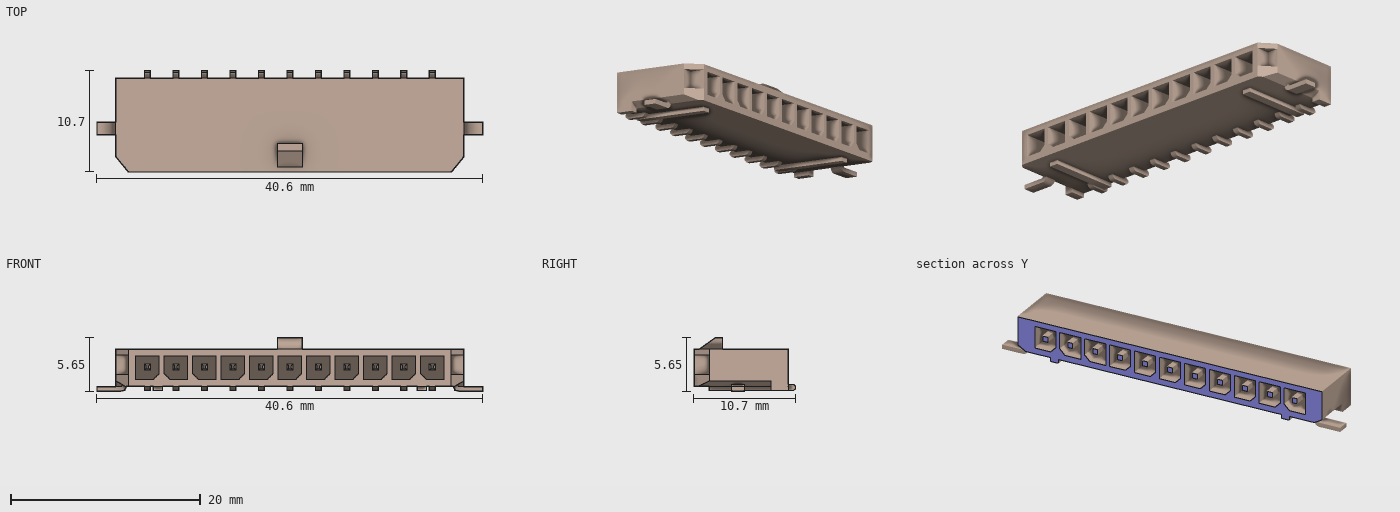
import cadquery as cq


overall_length = 40.65
overall_depth = 10.7
overall_height = 5.65

body_length = 36.65
body_depth = 9.9
body_top = 4.45
body_bottom = 0.53
corner_length = 1.35
corner_depth = 1.63
corner_top_wall = 0.6
corner_bottom_wall = 1.25
edge_bevel_width = 0.98
edge_bevel_height = 0.55

support_bottom = 0.1
foot_depth = 1.83
rib_width = 1.0
rib_center = 13.9
rib_start = 1.6

latch_width = 2.65
latch_front = 0.53
latch_back = 3.0
latch_flat = 0.77

pocket_keys = "RLLRRRRRRRL"
row_span = 30.0
pocket_size = 2.48
pocket_bevel = 0.6
pocket_top_wall = 0.7
pocket_depth = 7.3

pin_size = 0.65
pin_middle = 2.55
pin_tip_recess = 2.05
pin_taper_length = 0.5
pin_tip_size = 0.25
pin_bend_radius = 0.5
tail_end_bevel = 0.2

tab_thickness = 0.5
tab_front = 3.95
tab_width = 1.35
tab_leg_outer = 17.7
tab_leg_top = 1.63
tab_inner_radius = 0.15

half_body = body_length / 2
pocket_pitch = row_span / (len(pocket_keys) - 1)
pocket_centers = [i * pocket_pitch - row_span / 2 for i in range(len(pocket_keys))]
pocket_middle = body_top - pocket_top_wall - pocket_size / 2
foot_front = body_depth - foot_depth


def box(x_min, x_max, y_min, y_max, z_min, z_max):
    """Box between the given limits."""
    size = (x_max - x_min, y_max - y_min, z_max - z_min)
    return cq.Workplane("XY").box(*size, centered=False).translate((x_min, y_min, z_min))


def extrude_along_y(points, y_start, length):
    """Prism of an XZ outline running toward +Y."""
    return cq.Workplane("XZ", origin=(0, y_start, 0)).polyline(points).close().extrude(-length)


def extrude_along_x(points, x_middle, width):
    """Prism of a YZ outline, centred on x_middle."""
    plane = cq.Workplane("YZ", origin=(x_middle, 0, 0))
    return plane.polyline(points).close().extrude(width / 2, both=True)


def both_ends(solid):
    """The solid together with its mirror image at the other end."""
    return solid.union(solid.mirror("YZ"))


def make_body():
    """Housing block with bevelled and recessed front corners and bevelled lower edges."""
    bevel_start = half_body - corner_length
    outline = [
        (-bevel_start, 0),
        (bevel_start, 0),
        (half_body, corner_depth),
        (half_body, body_depth),
        (-half_body, body_depth),
        (-half_body, corner_depth),
    ]
    block = cq.Workplane("XY", origin=(0, 0, body_bottom)).polyline(outline).close()
    block = block.extrude(body_top - body_bottom)

    recess = box(
        bevel_start, half_body, 0, corner_depth,
        body_bottom + corner_bottom_wall, body_top - corner_top_wall,
    )
    edge_bevel = extrude_along_y(
        [
            (half_body, body_bottom),
            (half_body - edge_bevel_width, body_bottom),
            (half_body, body_bottom + edge_bevel_height),
        ],
        0,
        foot_front,
    )
    return block.cut(both_ends(recess)).cut(both_ends(edge_bevel))


def make_supports():
    """Rear corner feet and long ribs that stand on the board."""
    foot = box(
        half_body - edge_bevel_width, half_body, foot_front, body_depth,
        support_bottom, body_bottom,
    )
    rib = box(
        rib_center - rib_width / 2, rib_center + rib_width / 2, rib_start, body_depth,
        support_bottom, body_bottom,
    )
    return both_ends(foot).union(both_ends(rib))


def make_latch():
    """Ramped catch on the top face."""
    outline = [
        (latch_front, body_top),
        (latch_back - latch_flat, overall_height),
        (latch_back, overall_height),
        (latch_back, body_top),
    ]
    return extrude_along_x(outline, 0, latch_width)


def make_pocket(center, key):
    """Square pocket with one lower corner bevelled on the keyed side."""
    half = pocket_size / 2
    side = 1 if key == "R" else -1
    outline = [
        (center - side * half, pocket_middle + half),
        (center + side * half, pocket_middle + half),
        (center + side * half, pocket_middle - half + pocket_bevel),
        (center + side * (half - pocket_bevel), pocket_middle - half),
        (center - side * half, pocket_middle - half),
    ]
    return extrude_along_y(outline, 0, pocket_depth)


def make_pin(center):
    """Square pin with a tapered tip, bent down behind the pocket and back out to a solder tail."""
    half = pin_size / 2
    taper_end = pin_tip_recess + pin_taper_length
    leg_front = (pocket_depth + body_depth - pin_size) / 2
    leg_back = leg_front + pin_size
    tail_top = support_bottom + pin_size
    profile = (
        cq.Workplane("YZ", origin=(center, 0, 0))
        .moveTo(taper_end, pin_middle + half)
        .lineTo(leg_back, pin_middle + half)
        .lineTo(leg_back, tail_top)
        .lineTo(overall_depth - tail_end_bevel, tail_top)
        .lineTo(overall_depth, tail_top - tail_end_bevel)
        .lineTo(overall_depth, support_bottom + tail_end_bevel)
        .lineTo(overall_depth - tail_end_bevel, support_bottom)
        .lineTo(leg_front + pin_bend_radius, support_bottom)
        .radiusArc((leg_front, support_bottom + pin_bend_radius), pin_bend_radius)
        .lineTo(leg_front, pin_middle - half)
        .lineTo(taper_end, pin_middle - half)
        .close()
    )
    shank = profile.extrude(half, both=True)
    tip = (
        cq.Workplane("XZ", origin=(center, taper_end, pin_middle))
        .rect(pin_size, pin_size)
        .workplane(offset=pin_taper_length)
        .rect(pin_tip_size, pin_tip_size)
        .loft()
    )
    return shank.union(tip)


def make_tab():
    """Solder tab: a flat strip that bends up into the housing."""
    leg_inner = tab_leg_outer - tab_thickness
    outer_radius = tab_inner_radius + tab_thickness
    profile = (
        cq.Workplane("XZ", origin=(0, tab_front, 0))
        .moveTo(overall_length / 2, 0)
        .lineTo(overall_length / 2, tab_thickness)
        .lineTo(tab_leg_outer + tab_inner_radius, tab_thickness)
        .radiusArc((tab_leg_outer, outer_radius), tab_inner_radius)
        .lineTo(tab_leg_outer, tab_leg_top)
        .lineTo(leg_inner, tab_leg_top)
        .lineTo(leg_inner, outer_radius)
        .radiusArc((leg_inner + outer_radius, 0), -outer_radius)
        .close()
    )
    return profile.extrude(-tab_width)


result = make_body().union(make_supports()).union(make_latch())
for pocket_center, pocket_key in zip(pocket_centers, pocket_keys):
    result = result.cut(make_pocket(pocket_center, pocket_key))
for pocket_center in pocket_centers:
    result = result.union(make_pin(pocket_center))
result = result.union(both_ends(make_tab()))